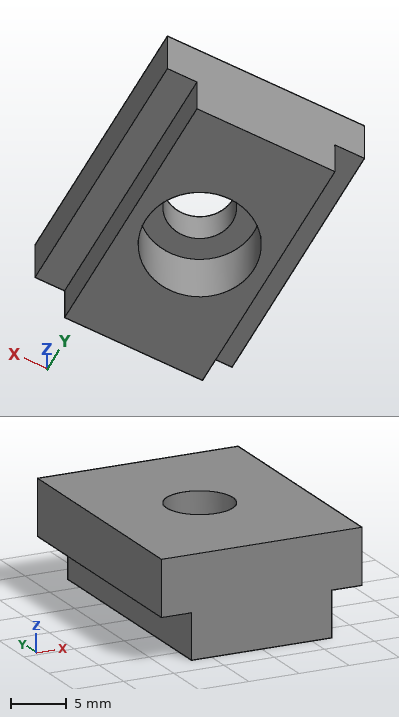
import cadquery as cq

length_y = 25.0
flange_width = 20.0
total_height = 10.0

tongue_width = 14.0
tongue_height = 4.5
flange_height = total_height - tongue_height

hole_diameter = 6.6
counterbore_diameter = 11.0
counterbore_depth = 6.3


def tongue():
    return cq.Workplane("XY").box(tongue_width, length_y, tongue_height, centered=(True, True, False))


def flange():
    return (
        cq.Workplane("XY")
        .workplane(offset=tongue_height)
        .box(flange_width, length_y, flange_height, centered=(True, True, False))
    )


def vertical_cylinder(diameter, height):
    """Cylinder on the hole axis, rising from the underside."""
    return cq.Workplane("XY").circle(diameter / 2).extrude(height)


body = tongue().union(flange())
body = body.cut(vertical_cylinder(hole_diameter, total_height))
result = body.cut(vertical_cylinder(counterbore_diameter, counterbore_depth))